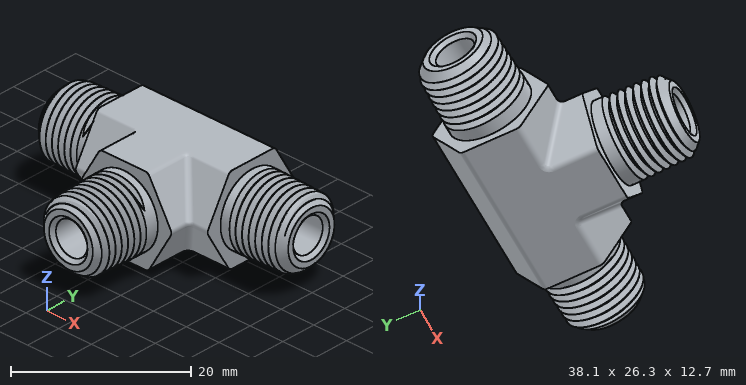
import cadquery as cq
import math

overall_length = 38.1
leg_reach = overall_length / 2
hex_reach = 10.05
hex_across_flats = 12.7
hex_across_corners = hex_across_flats / math.cos(math.radians(30))
edge_round = 0.8

spigot_length = leg_reach - hex_reach
spigot_radius = 5.15
spigot_tip_radius = 3.75
bore_radius = 2.4
bore_mouth_radius = 2.95

counted_turns = 7
counted_turns_length = 6.82
pitch = counted_turns_length / counted_turns
taper_slope = 1 / 32
groove_width = 0.95
groove_height = groove_width / 2 / math.tan(math.radians(30))
root_depth = 0.75
root_radius = spigot_radius - root_depth
groove_start = 1.5
groove_start_angle = 60.0
groove_overrun = pitch / 2
parallel_length = 2.65

blank_overrun = 1.68
trim_margin = 0.4


def hexagon_bar(plane, start, length):
    """Hexagonal bar along the plane normal, with corners on the plane's x axis."""
    return (
        cq.Workplane(plane)
        .workplane(offset=start)
        .polygon(6, hex_across_corners)
        .extrude(length)
    )


def is_on_end_face(edge):
    """True for edges around the three flat hexagon ends."""
    center = edge.Center()
    tolerance = 0.005
    return (
        abs(center.x) > hex_reach - tolerance
        or center.y < -hex_reach + tolerance
    )


def make_body():
    """Hexagonal run along X and branch along -Y, rounded except on the end faces."""
    run = hexagon_bar("YZ", -hex_reach, 2 * hex_reach)
    branch = hexagon_bar("XZ", 0, hex_reach)
    body = run.union(branch)
    side_edges = [edge for edge in body.edges().vals() if not is_on_end_face(edge)]
    return body.newObject(side_edges).fillet(edge_round)


def make_blank():
    """Unthreaded spigot along +Z from the origin, overlong so that its tip can be trimmed."""
    blank_end = leg_reach + blank_overrun
    taper_start = hex_reach + parallel_length
    blank_end_radius = spigot_radius - taper_slope * (blank_end - taper_start)
    return (
        cq.Workplane("XZ")
        .lineTo(spigot_radius, 0)
        .lineTo(spigot_radius, taper_start)
        .lineTo(blank_end_radius, blank_end)
        .lineTo(0, blank_end)
        .close()
        .revolve(360, (0, 0, 0), (0, 1, 0))
    )


def make_tip_trim():
    """Cutter that leaves the flat free end and its 45 degree lead-in chamfer."""
    chamfer_reach = spigot_radius - spigot_tip_radius + trim_margin
    outer_radius = spigot_tip_radius + chamfer_reach
    trim_end = leg_reach + blank_overrun + trim_margin
    return (
        cq.Workplane("XZ")
        .moveTo(0, leg_reach)
        .lineTo(spigot_tip_radius, leg_reach)
        .lineTo(outer_radius, leg_reach - chamfer_reach)
        .lineTo(outer_radius, trim_end)
        .lineTo(0, trim_end)
        .close()
        .revolve(360, (0, 0, 0), (0, 1, 0))
    )


def groove_profile():
    """V profile pointing at the axis, its tip on the +X axis at the groove root."""
    mouth_radius = root_radius + groove_height
    return (
        cq.Workplane("XZ")
        .moveTo(root_radius, 0)
        .lineTo(mouth_radius, groove_width / 2)
        .lineTo(mouth_radius, -groove_width / 2)
        .close()
    )


def place_groove(cutter):
    """Move a groove cutter from the XY plane and +X axis to the groove start."""
    return (
        cutter.rotate((0, 0, 0), (0, 0, 1), groove_start_angle)
        .translate((0, 0, hex_reach + groove_start))
    )


def make_thread_groove():
    """V-shaped cutter on a right-handed helix that narrows towards the free end."""
    helix = cq.Wire.makeHelix(
        pitch,
        spigot_length - groove_start + groove_overrun,
        root_radius,
        angle=-math.degrees(math.atan(taper_slope)),
    )
    return place_groove(groove_profile().sweep(cq.Workplane(helix), isFrenet=True))


def make_groove_runout():
    """Straight cutter along the tangent that lets the groove fade out at the spigot surface."""
    return place_groove(groove_profile().extrude(spigot_radius))


def make_bore():
    """Bore along +Z from the origin, with a 45 degree countersunk mouth."""
    mouth_depth = bore_mouth_radius - bore_radius
    return (
        cq.Workplane("XZ")
        .lineTo(bore_radius, 0)
        .lineTo(bore_radius, leg_reach - mouth_depth)
        .lineTo(bore_mouth_radius, leg_reach)
        .lineTo(0, leg_reach)
        .close()
        .revolve(360, (0, 0, 0), (0, 1, 0))
    )


def on_leg(shape, turn):
    """Lay a shape built along +Z onto the -Y leg, then turn it about Z."""
    return shape.rotate((0, 0, 0), (1, 0, 0), 90).rotate((0, 0, 0), (0, 0, 1), turn)


threaded_blank = make_blank().cut(make_thread_groove(), clean=False)
spigot = (
    threaded_blank.cut(make_groove_runout(), clean=False)
    .cut(make_tip_trim(), clean=False)
)
bore = make_bore()
leg_turns = (-90, 0, 90)

body = make_body()
bores = cq.Workplane()
for turn in leg_turns:
    body = body.union(on_leg(spigot, turn), clean=False)
    bores = bores.add(on_leg(bore, turn))

result = body.cut(bores.combine(), clean=False)